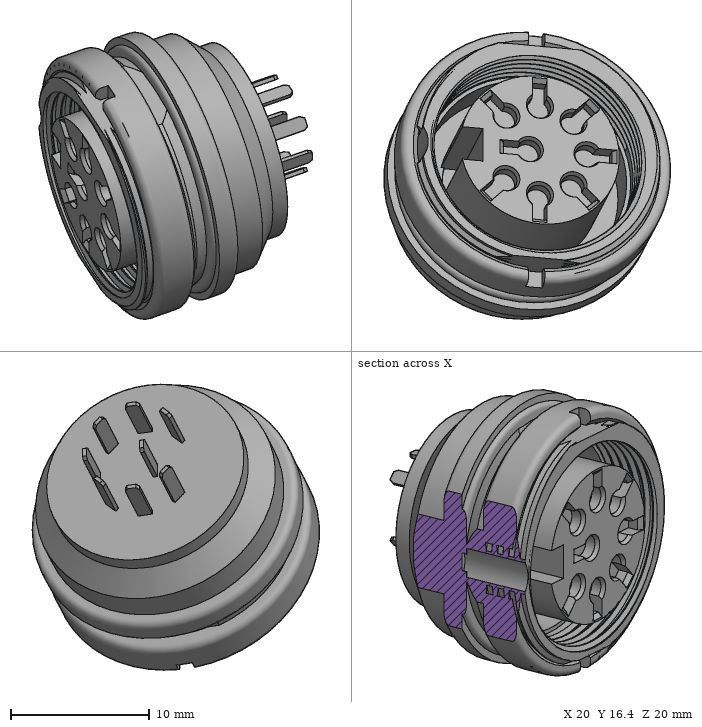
import cadquery as cq
import math

SHELL_FRONT = 0.35
NUT_FRONT = 1.08
NUT_BACK = 4.08
CONE_FRONT = 4.62
GASKET_FRONT = 5.55
FLANGE_FRONT = 5.95
FLANGE_BACK = 7.6
BODY_BACK = 9.88
TAPER_BACK = 11.45
REAR_FACE = 12.65
PIN_END = 16.45

FLANGE_R = 10.0
RIM_FILLET = 0.5
BODY_R = 9.0
REAR_R = 7.4
NECK_R = 8.65
GASKET_R = 9.45
GASKET_FILLET = 0.35
GASKET_OVERLAP = 0.1
NUT_BORE_R = 8.75
NUT_MOUTH_R = 9.15
NUT_SLOT_WIDTH = 1.2
NUT_SLOT_DEPTH = 1.0
FLAT_HEIGHT = 8.42
SCALLOP_R = 2.0
SCALLOP_REACH = 8.2

THREAD_BORE_R = 7.65
SMOOTH_BORE_R = 7.35
BORE_THREAD_END = 4.25
BORE_FLOOR = 7.2

OUTER_PITCH = 1.0
OUTER_ROOT_R = 8.65
OUTER_THREAD_START = -0.45
OUTER_THREAD_END = 4.2
INNER_PITCH = 0.75
INNER_ROOT_R = 8.0
INNER_THREAD_START = -0.22
CREST_SHARE = 0.125
THREAD_OVERCUT = 0.05
FLANK_TAN = math.tan(math.radians(30))

INSERT_R = 5.88
KEY_FLOOR_X = -4.22
KEY_WIDTH = 2.58
KEY_CORE_R = 5.65
KEY_EXTRA_DEPTH = 0.2
CONTACT_CIRCLE_R = 3.52
CONTACT_STEP = 45
CONTACT_ANGLES = [step * CONTACT_STEP for step in range(-3, 4)]
CENTRE_CONTACT_X = -0.75
HOLE_D = 1.7
HOLE_MOUTH_D = 2.0
MOUTH_DEPTH = 0.32
HOLE_DEPTH = 1.12
CONTACT_SLOT_WIDTH = 1.08
CONTACT_SLOT_LENGTH = 2.2
SLOT_END_CHAMFER = 0.32

PIN_WIDTH = 1.05
PIN_THICKNESS = 0.3
PIN_ROOT = 0.6
PIN_TIP_LENGTH = 0.32
PIN_TIP_INSET = 0.2


def cylinder(radius, start, end):
    """Cylinder on the Y axis between two stations."""
    return cq.Workplane("XZ", origin=(0, start, 0)).circle(radius).extrude(start - end)


def turned(profile):
    """Solid of revolution about Y from (radius, station) points."""
    return cq.Workplane("XY").polyline(profile).close().revolve(360, (0, 0), (0, 1))


def thread_groove(pitch, open_r, root_r, start, end):
    """Right-hand helical V-groove around Y, opening at open_r and bottoming at root_r, starting at -X."""
    into = math.copysign(1, root_r - open_r)
    half_open = pitch * (1 - CREST_SHARE) / 2
    half_root = half_open - abs(root_r - open_r) * FLANK_TAN
    half_outside = half_open + THREAD_OVERCUT * FLANK_TAN
    outside_r = open_r - into * THREAD_OVERCUT
    length = end - start
    helix = cq.Workplane(obj=cq.Wire.makeHelix(pitch, length, root_r))
    groove = (
        cq.Workplane("XZ")
        .polyline([
            (root_r, -half_root),
            (root_r, half_root),
            (outside_r, half_outside),
            (outside_r, -half_outside),
        ])
        .close()
        .sweep(helix, isFrenet=True)
    )
    groove = groove.rotate((0, 0, 0), (0, 0, 1), 180)
    return groove.rotate((0, 0, 0), (1, 0, 0), -90).translate((0, start, 0))


def make_sleeve():
    """Sleeve threaded inside and out, with a tapered neck, two flats and one side scallop."""
    front = turned([
        (0, SHELL_FRONT),
        (BODY_R, SHELL_FRONT),
        (BODY_R, CONE_FRONT),
        (NECK_R, GASKET_FRONT),
        (NECK_R, FLANGE_FRONT),
        (0, FLANGE_FRONT),
    ])
    outer_thread = thread_groove(
        OUTER_PITCH,
        BODY_R,
        OUTER_ROOT_R,
        OUTER_THREAD_START,
        OUTER_THREAD_END,
    )
    inner_thread = thread_groove(
        INNER_PITCH,
        THREAD_BORE_R,
        INNER_ROOT_R,
        INNER_THREAD_START,
        BORE_THREAD_END - INNER_PITCH / 2,
    )
    front = front.cut(make_socket_bore()).cut(inner_thread).cut(outer_thread)
    between_flats = cq.Workplane("XY").box(2 * BODY_R, 2 * FLANGE_FRONT, 2 * FLAT_HEIGHT)
    scallop = cylinder(SCALLOP_R, 0, FLANGE_FRONT).translate((-SCALLOP_REACH - SCALLOP_R, 0, 0))
    return front.intersect(between_flats).cut(scallop)


def make_rear_body():
    """Flange, body and tapered rear end around the closed end of the bore."""
    flange = cylinder(FLANGE_R, FLANGE_FRONT, FLANGE_BACK).edges(">Y").fillet(RIM_FILLET)
    body = turned([
        (0, FLANGE_FRONT),
        (BODY_R, FLANGE_FRONT),
        (BODY_R, BODY_BACK),
        (REAR_R, TAPER_BACK),
        (REAR_R, REAR_FACE),
        (0, REAR_FACE),
    ])
    return flange.union(body).cut(make_socket_bore())


def make_gasket():
    disc = cylinder(GASKET_R, GASKET_FRONT, FLANGE_FRONT).edges("<Y").fillet(GASKET_FILLET)
    return disc.cut(cylinder(NECK_R - GASKET_OVERLAP, GASKET_FRONT, FLANGE_FRONT))


def make_ring_nut():
    """Rounded nut with a chamfered bore and two spanner slots."""
    blank = cylinder(FLANGE_R, NUT_FRONT, NUT_BACK)
    blank = blank.edges().fillet(RIM_FILLET)
    bore = cylinder(NUT_BORE_R, NUT_FRONT, NUT_BACK)
    mouth_depth = NUT_MOUTH_R - NUT_BORE_R
    mouth = turned([
        (0, NUT_FRONT),
        (NUT_MOUTH_R, NUT_FRONT),
        (NUT_BORE_R, NUT_FRONT + mouth_depth),
        (0, NUT_FRONT + mouth_depth),
    ])
    slots = cq.Workplane("XY").box(
        NUT_SLOT_WIDTH, 2 * (NUT_FRONT + NUT_SLOT_DEPTH), 2 * FLANGE_R
    )
    return blank.cut(bore).cut(mouth).cut(slots)


def make_socket_bore():
    """Plain clearance of the socket: a wide mouth followed by a narrower smooth bore."""
    mouth = cylinder(THREAD_BORE_R, SHELL_FRONT, BORE_THREAD_END)
    return mouth.union(cylinder(SMOOTH_BORE_R, SHELL_FRONT, BORE_FLOOR))


def contact_opening():
    """Keyhole opening at the origin: a round hole with a radial slot toward +X."""
    hole = cylinder(HOLE_D / 2, 0, HOLE_DEPTH)
    mouth = turned([
        (0, 0),
        (HOLE_MOUTH_D / 2, 0),
        (HOLE_D / 2, MOUTH_DEPTH),
        (0, MOUTH_DEPTH),
    ])
    slot = (
        cq.Workplane("XY")
        .polyline([
            (0, 0),
            (CONTACT_SLOT_LENGTH, 0),
            (CONTACT_SLOT_LENGTH - SLOT_END_CHAMFER, SLOT_END_CHAMFER),
            (CONTACT_SLOT_LENGTH - SLOT_END_CHAMFER, HOLE_DEPTH),
            (0, HOLE_DEPTH),
        ])
        .close()
        .extrude(CONTACT_SLOT_WIDTH / 2, both=True)
    )
    return hole.union(mouth).union(slot)


def solder_pin():
    """Flat pin at the origin, its thickness along X, with a narrowed tip."""
    half = PIN_WIDTH / 2
    return (
        cq.Workplane("YZ")
        .polyline([
            (REAR_FACE - PIN_ROOT, -half),
            (PIN_END - PIN_TIP_LENGTH, -half),
            (PIN_END, -half + PIN_TIP_INSET),
            (PIN_END, half - PIN_TIP_INSET),
            (PIN_END - PIN_TIP_LENGTH, half),
            (REAR_FACE - PIN_ROOT, half),
        ])
        .close()
        .extrude(PIN_THICKNESS / 2, both=True)
    )


def at_contacts(shape):
    """Copies of a shape at the seven circle contacts and at the centre contact."""
    on_circle = shape.translate((CONTACT_CIRCLE_R, 0, 0))
    copies = [on_circle.rotate((0, 0, 0), (0, 1, 0), angle) for angle in CONTACT_ANGLES]
    turned_back = shape.rotate((0, 0, 0), (0, 1, 0), 180)
    copies.append(turned_back.translate((CENTRE_CONTACT_X, 0, 0)))
    return copies


def make_keyway():
    """Rectangular channel on the -X side, its inner part sunk below the bore floor."""
    length = INSERT_R + KEY_FLOOR_X
    depth = BORE_FLOOR + KEY_EXTRA_DEPTH
    channel = cq.Workplane("XY").box(length, depth, KEY_WIDTH, centered=(False, False, True))
    channel = channel.translate((-INSERT_R, 0, 0))
    sunk_part = channel.intersect(cylinder(KEY_CORE_R, 0, depth))
    return channel.intersect(cylinder(2 * INSERT_R, 0, BORE_FLOOR)).union(sunk_part)


def make_insert_and_rear():
    """Rear body carrying the insert, its keyway, the contact openings and the pins."""
    carrier = cylinder(INSERT_R, 0, BORE_FLOOR)
    for opening in at_contacts(contact_opening()):
        carrier = carrier.cut(opening)
    rear = make_rear_body().union(carrier).cut(make_keyway())
    for pin in at_contacts(solder_pin()):
        rear = rear.union(pin)
    return rear


result = make_sleeve().union(make_ring_nut()).union(make_gasket()).union(make_insert_and_rear())